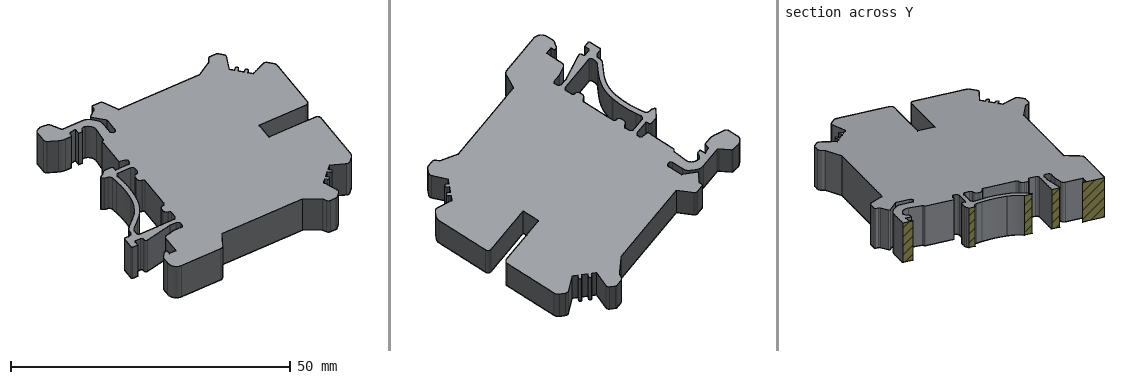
import cadquery as cq
import math


THICKNESS = 8.1
HEIGHT = 45.65
BODY_HALF_WIDTH = 18.0
RIGHT_EXTENT = 21.1

SLOT_HALF_WIDTH = 1.7
SLOT_FLOOR = 35.2
SLOT_LIP_RADIUS = 0.7

SHARP = 0
CRISP = 0.1
EASED = 0.2
SOFT = 0.4
ROUND = 0.7
FULL = 1.2

SEAT_TOP = (13.28, 40.9)
SEAT_BOTTOM_X = 16.4
SEAT_ANGLE = 45
SEAT_DROP = (SEAT_BOTTOM_X - SEAT_TOP[0]) * math.tan(math.radians(SEAT_ANGLE))
SEAT_BOTTOM = (SEAT_BOTTOM_X, SEAT_TOP[1] - SEAT_DROP)
EAR_EXTENT = 20.9
RIB_WIDTH = 0.65
RIB_HEIGHT = 0.83
RIB_FIRST = 1.36
RIB_PITCH = 1.81
RIBS_PER_SEAT = 2

SHOULDER = 15.65
HIP = 14.0
UNDERSIDE = 10.6
RAIL_FACE = 9.0
RAIL_GROOVE_TOP = 6.42
CLIP_SLOT_TOP = 12.5
CLIP_SLOT_BOTTOM = 11.4
POST_WIDTH = 0.9
LEFT_POST_X = -5.35
RIGHT_POST_X = 10.55
POST_TIP_TOP = 1.75
SLIT_RADIUS = 0.6
WINDOW_LEFT = LEFT_POST_X + POST_WIDTH

ARCH_THICKNESS = 0.95
ARCH_CROWN = (-0.3, 7.43)
ARCH_CROWN_RADIUS = 18.0
ARCH_CROWN_SLOPE = math.radians(8)
ARCH_BEND_RUN = 5.65
ARCH_BEND_RADIUS = 8.0
ARCH_STEEP_SLOPE = math.radians(48)
ARCH_END_RADIUS = 1.1

STOP_CENTRES = (-1.68, 7.5)
STOP_HALF_WIDTH = 0.85
STOP_DEPTH = 1.1
STOP_RADIUS = 0.75
STOP_TAPER = 0.15
STOP_FLARE = 0.4


def rounded_outline(corners):
    """Closed outline through (x, y, radius) corners, each rounded by a tangent arc."""
    path = None
    for i, (x, y, radius) in enumerate(corners):
        before = cq.Vector(*corners[i - 1][:2])
        after = cq.Vector(*corners[(i + 1) % len(corners)][:2])
        corner = cq.Vector(x, y)
        to_before = (before - corner).normalized()
        to_after = (after - corner).normalized()
        half_angle = to_before.getAngle(to_after) / 2
        setback = radius / math.tan(half_angle)
        start = corner + to_before * setback
        if path is None:
            path = cq.Workplane("XY").moveTo(start.x, start.y)
        else:
            path = path.lineTo(start.x, start.y)
        if radius > 0:
            inward = (to_before + to_after).normalized()
            middle = corner + inward * (radius / math.sin(half_angle) - radius)
            end = corner + to_after * setback
            path = path.threePointArc((middle.x, middle.y), (end.x, end.y))
    return path.close()


def top_half():
    """Right half of the upper edge, from the slot floor down to the body side."""
    shoulder_flat_end = 13.25
    shoulder_tip = (14.72, 44.15)
    ear_top = (19.7, 39.1)
    ear_face_top = 37.9
    ear_face_bottom = 36.1
    ear_root = (19.85, 35.57)
    body_side_top = 32.5
    return [
        (SLOT_HALF_WIDTH, SLOT_FLOOR, SHARP),
        (SLOT_HALF_WIDTH, HEIGHT, SLOT_LIP_RADIUS),
        (shoulder_flat_end, HEIGHT, FULL),
        (*shoulder_tip, ROUND),
        (*SEAT_TOP, SHARP),
        (*SEAT_BOTTOM, SHARP),
        (*ear_top, ROUND),
        (EAR_EXTENT, ear_face_top, SOFT),
        (EAR_EXTENT, ear_face_bottom, ROUND),
        (*ear_root, EASED),
        (BODY_HALF_WIDTH, body_side_top, SHARP),
    ]


def mirrored(corners):
    """The same corners reflected across X = 0, in reverse order so the outline runs on."""
    return [(-x, y, radius) for x, y, radius in reversed(corners)]


def right_hook():
    """Right side of the body and the fixed hook that grips the rail edge."""
    hook_bottom = 3.55
    hook_outer_radius = 1.8
    hook_flat_start = 17.8
    lip_x = 16.6
    lip_bottom = 4.45
    lip_top = 5.05
    lip_root_x = 17.4
    slit_x = 12.9
    slit_bend = 8.7
    slit_mouth_x = 13.4
    return [
        (BODY_HALF_WIDTH, SHOULDER, SHARP),
        (RIGHT_EXTENT, HIP, ROUND),
        (RIGHT_EXTENT, hook_bottom, hook_outer_radius),
        (hook_flat_start, hook_bottom, ROUND),
        (lip_x, lip_bottom, CRISP),
        (lip_x, lip_top, CRISP),
        (lip_root_x, lip_top, SHARP),
        (lip_root_x, RAIL_GROOVE_TOP, SHARP),
        (slit_mouth_x, RAIL_GROOVE_TOP, ROUND),
        (slit_x, slit_bend, FULL),
        (slit_x, UNDERSIDE, SOFT),
    ]


def right_post():
    """Outer side of the right post and the notched tip under it."""
    outer_x = RIGHT_POST_X + POST_WIDTH
    post_bend = 8.7
    nib_x = 12.65
    notch_x = 11.6
    notch_top = 2.88
    notch_bottom = 1.28
    tip_left = 10.0
    tip_right = 12.7
    return [
        (outer_x, UNDERSIDE, SLIT_RADIUS),
        (outer_x, post_bend, FULL),
        (nib_x, notch_top, SOFT),
        (notch_x, notch_top, SOFT),
        (notch_x, notch_bottom, EASED),
        (tip_right, notch_bottom, SHARP),
        (tip_right, 0, EASED),
        (tip_left, 0, EASED),
        (tip_left, POST_TIP_TOP, ROUND),
    ]


def arch_corners(foot, depth):
    """Corners of an arch face lying depth below the upper one, from its foot height to the crown.

    The face follows straight tangents that meet in the corners; the rounding makes its arcs.
    """
    crown_x, crown_y = ARCH_CROWN
    bend_drop = ARCH_BEND_RUN * math.tan(ARCH_CROWN_SLOPE)
    mean_slope = (ARCH_STEEP_SLOPE + ARCH_CROWN_SLOPE) / 2
    half_turn = (ARCH_STEEP_SLOPE - ARCH_CROWN_SLOPE) / 2
    bend_shift = depth / math.cos(half_turn)
    bend_x = crown_x + ARCH_BEND_RUN - bend_shift * math.sin(mean_slope)
    bend_y = crown_y - bend_drop - bend_shift * math.cos(mean_slope)
    foot_x = bend_x + (bend_y - foot) / math.tan(ARCH_STEEP_SLOPE)
    return [
        (foot_x, foot, ARCH_END_RADIUS),
        (bend_x, bend_y, ARCH_BEND_RADIUS - depth),
        (crown_x, crown_y - depth / math.cos(ARCH_CROWN_SLOPE), ARCH_CROWN_RADIUS - depth),
    ]


def left_post():
    """Barb under the left post and the slit beside it."""
    barb_root = (-4.4, 5.85)
    barb_inner = (-4.6, 4.7)
    barb_tip = (-5.05, 4.05)
    barb_outer_x = -6.3
    barb_bend = 5.6
    barb_top = 7.4
    slit_top_x = -6.5
    slit_mouth_x = -6.85
    return [
        (*barb_root, ROUND),
        (*barb_inner, SOFT),
        (*barb_tip, EASED),
        (barb_outer_x, barb_bend, ROUND),
        (barb_outer_x, barb_top, SOFT),
        (LEFT_POST_X, barb_top, SHARP),
        (LEFT_POST_X, UNDERSIDE, SLIT_RADIUS),
        (slit_top_x, UNDERSIDE, SOFT),
        (slit_mouth_x, RAIL_FACE, SHARP),
    ]


def left_clip():
    """Sprung clip on the left: its inner side, its toe and its outer side."""
    rail_face_end = -12.7
    step_top = (-12.9, 9.4)
    elbow_inner = (-17.0, 9.75)
    elbow_inner_radius = 1.7
    pocket_root = (-17.6, 7.6)
    tooth_x = -16.55
    tooth_top = 7.25
    groove_top_x = -17.7
    groove_bottom = (-17.5, 5.2)
    jaw_top = 4.93
    jaw_bend = 3.0
    jaw_radius = 3.0
    toe_bottom = 0.16
    toe_right = -17.9
    toe_left = -20.9
    toe_tip = (-21.44, 1.3)
    toe_heel = (-21.25, 3.0)
    leg_outer_x = -18.95
    leg_foot = 4.4
    elbow_start = 9.6
    elbow_end = -17.0
    elbow_lower_radius = 2.2
    elbow_upper_radius = 1.8
    return [
        (rail_face_end, RAIL_FACE, CRISP),
        (*step_top, CRISP),
        (*elbow_inner, elbow_inner_radius),
        (*pocket_root, ROUND),
        (tooth_x, tooth_top, CRISP),
        (tooth_x, RAIL_GROOVE_TOP, SHARP),
        (groove_top_x, RAIL_GROOVE_TOP, SHARP),
        (*groove_bottom, SHARP),
        (tooth_x, jaw_top, SHARP),
        (tooth_x, jaw_bend, jaw_radius),
        (toe_right, toe_bottom, ROUND),
        (toe_left, toe_bottom, ROUND),
        (*toe_tip, SOFT),
        (*toe_heel, EASED),
        (leg_outer_x, leg_foot, SOFT),
        (leg_outer_x, elbow_start, elbow_lower_radius),
        (elbow_end, CLIP_SLOT_BOTTOM, elbow_upper_radius),
    ]


def left_shoulder():
    """Slot that frees the clip and the nose above it, up to the body side."""
    slot_end = -13.55
    slot_mouth_x = -16.8
    slot_end_radius = 0.5
    nose_tip = (-19.0, 10.25)
    nose_root_x = -20.3
    nose_base = 11.95
    hip_x = -21.2
    return [
        (slot_end, CLIP_SLOT_BOTTOM, slot_end_radius),
        (slot_end, CLIP_SLOT_TOP, slot_end_radius),
        (slot_mouth_x, CLIP_SLOT_TOP, SHARP),
        (*nose_tip, EASED),
        (nose_root_x, nose_base, SOFT),
        (hip_x, nose_base, EASED),
        (hip_x, HIP, ROUND),
        (-BODY_HALF_WIDTH, SHOULDER, SHARP),
    ]


def window():
    """Opening between the posts, closed below by the arch."""
    corners = [(WINDOW_LEFT, UNDERSIDE, SLIT_RADIUS)]
    for centre in STOP_CENTRES:
        top_half_width = STOP_HALF_WIDTH + STOP_TAPER
        stop_bottom = UNDERSIDE - STOP_DEPTH
        corners += [
            (centre - top_half_width, UNDERSIDE, STOP_FLARE),
            (centre - STOP_HALF_WIDTH, stop_bottom, STOP_RADIUS),
            (centre + STOP_HALF_WIDTH, stop_bottom, STOP_RADIUS),
            (centre + top_half_width, UNDERSIDE, STOP_FLARE),
        ]
    floor = 2.55
    crown_to_post = ARCH_CROWN[0] - WINDOW_LEFT
    corners += [
        (RIGHT_POST_X, UNDERSIDE, SLIT_RADIUS),
        (RIGHT_POST_X, floor, SOFT),
        *arch_corners(floor, 0),
        (WINDOW_LEFT, ARCH_CROWN[1] - crown_to_post * math.tan(ARCH_CROWN_SLOPE), SLIT_RADIUS),
    ]
    return rounded_outline(corners).extrude(THICKNESS)


def seat_rib(side, index):
    """Round-nosed rib standing square to a marker seat, half of its slot shape buried in the body."""
    distance = RIB_FIRST + index * RIB_PITCH
    x = SEAT_TOP[0] + distance * math.cos(math.radians(SEAT_ANGLE))
    y = SEAT_TOP[1] - distance * math.sin(math.radians(SEAT_ANGLE))
    return (
        cq.Workplane("XY")
        .center(side * x, y)
        .slot2D(2 * RIB_HEIGHT, RIB_WIDTH, 90 - side * SEAT_ANGLE)
        .extrude(THICKNESS)
    )


outline = (
    top_half() + right_hook() + right_post() + arch_corners(POST_TIP_TOP, ARCH_THICKNESS) + left_post()
    + left_clip() + left_shoulder() + mirrored(top_half())
)
result = rounded_outline(outline).extrude(THICKNESS).cut(window())
for side in (-1, 1):
    for index in range(RIBS_PER_SEAT):
        result = result.union(seat_rib(side, index))